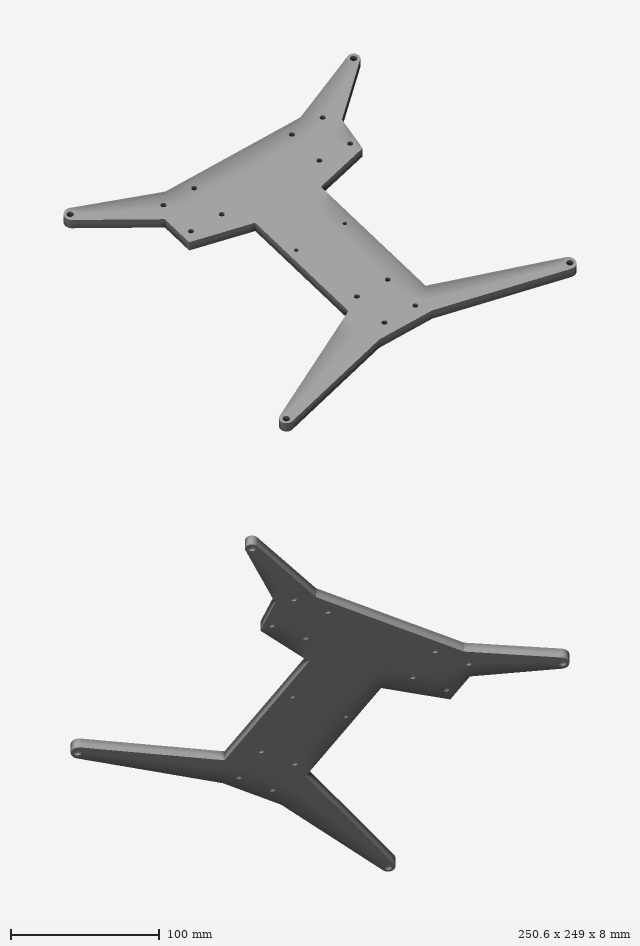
import cadquery as cq
import math

LAYER_THICKNESS = 4.0

END_HOLE_OFFSET = 120.0
END_HOLE_DIAMETER = 5.0

LARGE_END_RADIUS = 5.8
FRONT_RIGHT_END_RADIUS = 5.0
REAR_LEFT_END_RADIUS = 4.5
LARGE_END_SHIFT_X = 0.5
LARGE_END_SHIFT_Y = 1.3
FRONT_RIGHT_END_SHIFT = 0.5

REAR_LEFT_END = (-END_HOLE_OFFSET, END_HOLE_OFFSET)
FRONT_LEFT_END = (END_HOLE_OFFSET - LARGE_END_SHIFT_X, END_HOLE_OFFSET - LARGE_END_SHIFT_Y)
FRONT_RIGHT_END = (END_HOLE_OFFSET - FRONT_RIGHT_END_SHIFT, -END_HOLE_OFFSET + FRONT_RIGHT_END_SHIFT)
REAR_RIGHT_END = (-END_HOLE_OFFSET + LARGE_END_SHIFT_X, -END_HOLE_OFFSET + LARGE_END_SHIFT_Y)

BODY_CENTRE_Y = 2.0
WAIST_WIDTH = 55.5
WAIST_LEFT_Y = BODY_CENTRE_Y + WAIST_WIDTH / 2
WAIST_RIGHT_Y = BODY_CENTRE_Y - WAIST_WIDTH / 2
WAIST_REAR_X = -38.0
REAR_EDGE_X = -98.0
REAR_EDGE_LEFT_Y = 58.0
REAR_EDGE_RIGHT_Y = -56.0
FRONT_EDGE_X = 99.2
FRONT_EDGE_LEFT_Y = 19.3
FRONT_EDGE_RIGHT_Y = -25.5
FRONT_LEFT_ARM_ROOT_X = 78.1
FRONT_RIGHT_ARM_ROOT_X = 65.4
REAR_LEFT_ARM_ROOT = (-79.5, 79.1)
REAR_LEFT_SHOULDER = (-49.5, 74.0)
REAR_RIGHT_SHOULDER_Y = -72.1
REAR_RIGHT_ARM_ROOT = (-77.6, REAR_RIGHT_SHOULDER_Y)
REAR_RIGHT_SHOULDER = (-50.5, REAR_RIGHT_SHOULDER_Y)

MOUNT_HOLE_DIAMETER = 4.0
MOUNT_PITCH_X = 30.5
MOUNT_PITCH_Y = 26.0
MOUNT_GROUP_X = 73.5
REAR_GROUP_CENTRE_Y = 2.5
REAR_GROUP_SPACING_Y = 108.7
MOUNT_GROUP_CENTRES = [
    (MOUNT_GROUP_X, 0),
    (-MOUNT_GROUP_X, REAR_GROUP_CENTRE_Y + REAR_GROUP_SPACING_Y / 2),
    (-MOUNT_GROUP_X, REAR_GROUP_CENTRE_Y - REAR_GROUP_SPACING_Y / 2),
]

JOINT_HOLE_DIAMETER = 3.0
JOINT_HOLE_X = -1.0
JOINT_HOLE_CENTRE_Y = 1.3
JOINT_HOLE_SPACING = 41.0

SEAM_X = 2.8
KNOB_RADIUS = 6.0
NECK_WIDTH = 3.8
NECK_ROOT_FILLET = 2.0
REAR_KNOB_CENTRE = (12.3, 16.8)
FRONT_KNOB_CENTRE = (-10.5, -8.0)


def tangent_point(corner, centre, radius, side):
    """Point where a line from corner touches a circle; side is +1 or -1 for its two tangents."""
    dx = corner[0] - centre[0]
    dy = corner[1] - centre[1]
    angle = math.atan2(dy, dx) + side * math.acos(radius / math.hypot(dx, dy))
    return (centre[0] + radius * math.cos(angle), centre[1] + radius * math.sin(angle))


def add_arm(outline, start, centre, radius, finish):
    """Run clockwise from start, round the arm end and back to finish."""
    arc_start = tangent_point(start, centre, radius, -1)
    arc_finish = tangent_point(finish, centre, radius, 1)
    root_x = (start[0] + finish[0]) / 2
    root_y = (start[1] + finish[1]) / 2
    reach = math.hypot(centre[0] - root_x, centre[1] - root_y)
    arc_middle = (
        centre[0] + radius * (centre[0] - root_x) / reach,
        centre[1] + radius * (centre[1] - root_y) / reach,
    )
    return outline.lineTo(*arc_start).threePointArc(arc_middle, arc_finish).lineTo(*finish)


def hole_positions(centre, pitch_x, pitch_y):
    """Corners of a rectangle of holes."""
    return [
        (centre[0] + side_x * pitch_x / 2, centre[1] + side_y * pitch_y / 2)
        for side_x in (-1, 1)
        for side_y in (-1, 1)
    ]


def drill(layer, positions, diameter):
    """Cut round holes through a layer."""
    holes = cq.Workplane("XY").pushPoints(positions).circle(diameter / 2).extrude(LAYER_THICKNESS)
    return layer.cut(holes)


def layer_outline():
    """Closed outline of the whole frame, clockwise from the rear edge."""
    rear_edge_left = (REAR_EDGE_X, REAR_EDGE_LEFT_Y)
    rear_edge_right = (REAR_EDGE_X, REAR_EDGE_RIGHT_Y)
    front_edge_left = (FRONT_EDGE_X, FRONT_EDGE_LEFT_Y)
    front_edge_right = (FRONT_EDGE_X, FRONT_EDGE_RIGHT_Y)
    front_left_root = (FRONT_LEFT_ARM_ROOT_X, WAIST_LEFT_Y)
    front_right_root = (FRONT_RIGHT_ARM_ROOT_X, WAIST_RIGHT_Y)

    outline = cq.Workplane("XY").moveTo(*rear_edge_left)
    outline = add_arm(outline, rear_edge_left, REAR_LEFT_END, REAR_LEFT_END_RADIUS, REAR_LEFT_ARM_ROOT)
    outline = outline.lineTo(*REAR_LEFT_SHOULDER).lineTo(WAIST_REAR_X, WAIST_LEFT_Y).lineTo(*front_left_root)
    outline = add_arm(outline, front_left_root, FRONT_LEFT_END, LARGE_END_RADIUS, front_edge_left)
    outline = outline.lineTo(*front_edge_right)
    outline = add_arm(outline, front_edge_right, FRONT_RIGHT_END, FRONT_RIGHT_END_RADIUS, front_right_root)
    outline = outline.lineTo(WAIST_REAR_X, WAIST_RIGHT_Y).lineTo(*REAR_RIGHT_SHOULDER)
    outline = outline.lineTo(*REAR_RIGHT_ARM_ROOT)
    outline = add_arm(outline, REAR_RIGHT_ARM_ROOT, REAR_RIGHT_END, LARGE_END_RADIUS, rear_edge_right)
    return outline.close()


def drilled_layer():
    """One full layer of the frame, standing on z = 0, with every hole through it."""
    layer = layer_outline().extrude(LAYER_THICKNESS)
    end_pitch = 2 * END_HOLE_OFFSET
    layer = drill(layer, hole_positions((0, 0), end_pitch, end_pitch), END_HOLE_DIAMETER)
    for centre in MOUNT_GROUP_CENTRES:
        layer = drill(layer, hole_positions(centre, MOUNT_PITCH_X, MOUNT_PITCH_Y), MOUNT_HOLE_DIAMETER)
    joint_holes = [(JOINT_HOLE_X, JOINT_HOLE_CENTRE_Y + side * JOINT_HOLE_SPACING / 2) for side in (-1, 1)]
    return drill(layer, joint_holes, JOINT_HOLE_DIAMETER)


def joint_knob(centre):
    """Knob and the neck that joins it to the seam."""
    knob = cq.Workplane("XY").center(*centre).circle(KNOB_RADIUS).extrude(LAYER_THICKNESS)
    neck = (
        cq.Workplane("XY")
        .center((centre[0] + SEAM_X) / 2, centre[1])
        .rect(abs(centre[0] - SEAM_X), NECK_WIDTH)
        .extrude(LAYER_THICKNESS)
    )
    return knob.union(neck)


def rear_region():
    """Everything on the rear side of the jigsaw seam, larger than the frame itself."""
    span = 4 * END_HOLE_OFFSET
    half_space = (
        cq.Workplane("XY")
        .center(SEAM_X - span / 2, 0)
        .rect(span, span)
        .extrude(LAYER_THICKNESS)
    )
    region = half_space.union(joint_knob(REAR_KNOB_CENTRE)).cut(joint_knob(FRONT_KNOB_CENTRE))
    margin = NECK_ROOT_FILLET / 2
    neck_roots = cq.selectors.BoxSelector(
        (SEAM_X - margin, WAIST_RIGHT_Y, 0),
        (SEAM_X + margin, REAR_KNOB_CENTRE[1], LAYER_THICKNESS),
    )
    return region.edges("|Z").edges(neck_roots).fillet(NECK_ROOT_FILLET)


layer = drilled_layer()
rear_side = rear_region()
lift = (0, 0, LAYER_THICKNESS)

base_plate = layer
rear_plate = layer.intersect(rear_side).translate(lift)
front_plate = layer.cut(rear_side).translate(lift)

result = cq.Compound.makeCompound([
    base_plate.solids().val(),
    rear_plate.solids().val(),
    front_plate.solids().val(),
])